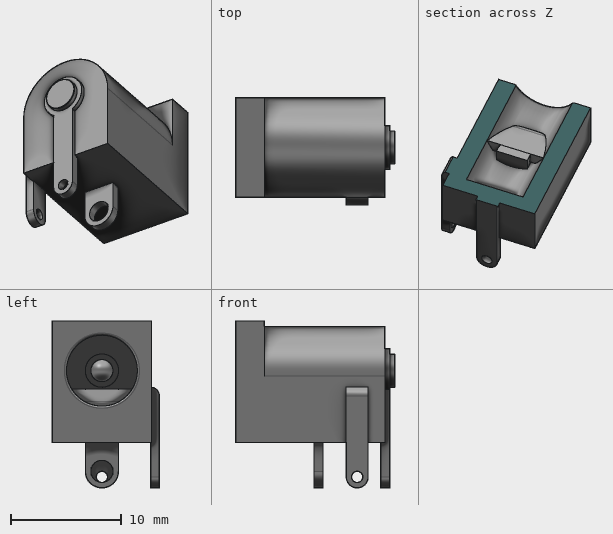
import math
import cadquery as cq


total_height = 15.1
body_width = 9.0
body_length = 13.5
body_bottom = 4.09
head_length = 2.6
barrel_radius = body_width / 2
barrel_axis_z = 10.1

socket_axis_z = 10.6
bore_diameter = 6.4
bore_depth = 12.0
bore_lip_radius = 0.2
pin_diameter = 2.0
pin_tip_x = 0.65
collar_diameter = 3.0
collar_height = 0.1

strip_thickness = 0.83
solder_hole_diameter = 1.0

rear_face_x = 13.94
rear_leg_width = 2.0
rear_disc_diameter = 3.99
rivet_end_x = 14.4
rivet_diameter = 3.0
rivet_chamfer = 0.05

middle_leg_x = 7.08
middle_leg_width = 3.0
middle_hole_diameter = 2.0
leaf_width = 6.0
leaf_bend_radius = 1.15
leaf_bend_end_x = 3.78
leaf_bend_end_z = 7.82
leaf_tip_z = 8.94

side_leg_x = 11.0
side_leg_width = 2.0
side_leg_top = 9.1
side_leg_thickness = 0.8
side_leg_projection = 0.7
side_bend_radius = 0.79


def x_cylinder(diameter, start_x, end_x):
    """Cylinder on the socket axis between two X positions."""
    disc = cq.Workplane("YZ", origin=(start_x, 0, socket_axis_z)).circle(diameter / 2)
    return disc.extrude(end_x - start_x)


def leg(width, top, thickness, hole_diameter, hole_z):
    """Upright strip in the YZ plane with a round lower end and a solder hole."""
    radius = width / 2
    outline = (
        cq.Workplane("YZ")
        .moveTo(-radius, top)
        .lineTo(-radius, radius)
        .threePointArc((0, 0), (radius, radius))
        .lineTo(radius, top)
        .close()
    )
    hole = cq.Workplane("YZ").center(0, hole_z).circle(hole_diameter / 2).extrude(thickness)
    return outline.extrude(thickness).cut(hole)


def make_housing():
    """Square head and round-topped body with a blind plug bore."""
    head = cq.Workplane("XY").box(
        head_length, body_width, total_height - body_bottom, centered=(False, True, False)
    ).translate((0, 0, body_bottom))
    body = (
        cq.Workplane("YZ")
        .moveTo(-barrel_radius, body_bottom)
        .lineTo(-barrel_radius, barrel_axis_z)
        .threePointArc((0, barrel_axis_z + barrel_radius), (barrel_radius, barrel_axis_z))
        .lineTo(barrel_radius, body_bottom)
        .close()
        .extrude(body_length)
    )
    housing = head.union(body).cut(x_cylinder(bore_diameter, 0, bore_depth))
    bore_rim = cq.selectors.RadiusNthSelector(0)
    return housing.faces("<X").edges("%CIRCLE").edges(bore_rim).fillet(bore_lip_radius)


def make_pin():
    """Contact pin with a domed tip, a collar at the bore floor and a riveted rear end."""
    radius = pin_diameter / 2
    dome_x = pin_tip_x + radius
    dome = cq.Workplane("XY").sphere(radius).translate((dome_x, 0, socket_axis_z))
    shank = x_cylinder(pin_diameter, dome_x, body_length)
    collar = x_cylinder(collar_diameter, bore_depth - collar_height, body_length)
    rivet = x_cylinder(rivet_diameter, body_length, rivet_end_x).faces(">X").chamfer(rivet_chamfer)
    return dome.union(shank).union(collar).union(rivet)


def make_rear_terminal():
    """Rear solder leg that widens to a disc around the pin."""
    start_x = rear_face_x - strip_thickness
    strip = leg(rear_leg_width, socket_axis_z, strip_thickness, solder_hole_diameter, rear_leg_width / 2)
    return strip.translate((start_x, 0, 0)).union(x_cylinder(rear_disc_diameter, start_x, rear_face_x))


def make_middle_terminal():
    """Middle solder leg with a spring leaf sloping forward from its top and curling down at the front."""
    hole_z = middle_leg_width / 2
    leaf_run = middle_leg_x - leaf_bend_end_x
    leaf_rise = leaf_tip_z - leaf_bend_end_z
    leaf_bend_angle = math.atan2(leaf_run, leaf_rise)
    bend_x = leaf_bend_end_x + leaf_bend_radius * math.cos(leaf_bend_angle)
    bend_z = leaf_bend_end_z - leaf_bend_radius * math.sin(leaf_bend_angle)

    def bend_point(radius, angle):
        return (bend_x - radius * math.cos(angle), bend_z + radius * math.sin(angle))

    def leaf_end(point):
        return (point[0] + leaf_run, point[1] + leaf_rise)

    inner_radius = leaf_bend_radius - strip_thickness
    outer_bend_end = bend_point(leaf_bend_radius, leaf_bend_angle)
    inner_bend_end = bend_point(inner_radius, leaf_bend_angle)
    leaf = (
        cq.Workplane("XZ")
        .moveTo(*bend_point(leaf_bend_radius, 0))
        .threePointArc(bend_point(leaf_bend_radius, leaf_bend_angle / 2), outer_bend_end)
        .lineTo(*leaf_end(outer_bend_end))
        .lineTo(*leaf_end(inner_bend_end))
        .lineTo(*inner_bend_end)
        .threePointArc(bend_point(inner_radius, leaf_bend_angle / 2), bend_point(inner_radius, 0))
        .close()
        .extrude(leaf_width / 2, both=True)
    )
    strip = leg(middle_leg_width, leaf_tip_z, strip_thickness, middle_hole_diameter, hole_z)
    return strip.translate((middle_leg_x, 0, 0)).union(leaf)


def make_side_terminal():
    """Side solder leg lying against the -Y wall, rounded over at its top outer edge."""
    outer_y = -body_width / 2 - side_leg_projection
    strip = leg(side_leg_width, side_leg_top, side_leg_thickness, solder_hole_diameter, side_leg_width / 2)
    bend = strip.faces(">Z").edges("<X").fillet(side_bend_radius)
    return bend.rotate((0, 0, 0), (0, 0, 1), 90).translate((side_leg_x, outer_y, 0))


result = (
    make_housing()
    .union(make_pin())
    .union(make_rear_terminal())
    .union(make_middle_terminal())
    .union(make_side_terminal())
)